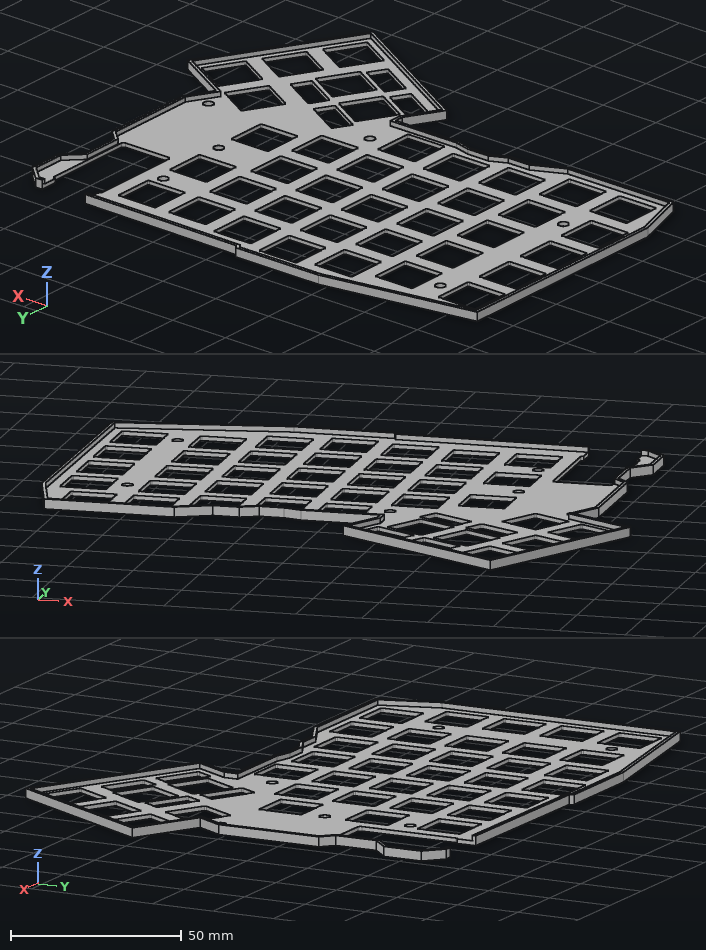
import cadquery as cq
import math


length = 181.0
width = 146.5
total_height = 3.0
floor_thickness = 1.5
rim_width = 1.0

hook_right = 167.6
bay_wall_right = 162.0
right_side = 165.8
lower_step = 45.8
lower_hump = 47.2
lower_shelf = 44.7
lower_left = 39.8

row_span = 76.2
pitch = row_span / 4
switch_size = 14.0
corner_radius = 0.4
grid_x = 35.3
grid_y = 126.7
outer_column_offset = 5 / 4

columns = [
    (0, (0, 1, 2, 3, 4)),
    (1 / 4, (0, 1, 2, 3, 4)),
    (3 / 8, (0, 1, 2, 3, 4)),
    (1 / 4, (0, 1, 2, 3, 4)),
    (1 / 8, (0, 1, 2, 3)),
    (1 / 8, (0, 1.25, 2.75)),
]

thumb_angle = -30.0
thumb_x = 167.0
thumb_y = 46.9
thumb_keys = [(-1, 0), (0, 0), (0, -1), (0, -2)]
tall_thumb_keys = [(-2, -1.5), (-1, -1.5)]
stabilizer_length = 14.8
stabilizer_width = 6.7
stabilizer_spacing = 12.0
stabilizer_shift = -1.6

thumb_right_corner_y = 50.5
thumb_right_edge = 58.3
thumb_lower_edge = 61.0
thumb_upper_edge = 23.5
thumb_left_edge = 14.1

screw_diameter = 3.3
screw_points = [
    (23.2, 126.9), (23.2, 69.7), (134.8, 118.4), (136.3, 90.9), (158.7, 68.0), (106.0, 57.7),
]

bay_left = 142.6
bay_right = 160.5
bay_bottom = 105.5
mouth_left = 143.4
mouth_right = 159.5
mouth_bottom = 138.3
mouth_top = 144.5
bay_corner_radius = 0.9


def along_thumb(start, distance, turn):
    """Point at a distance from start, in a direction turned from the thumb cluster's own X axis."""
    angle = math.radians(thumb_angle + turn)
    return (start[0] + distance * math.cos(angle), start[1] + distance * math.sin(angle))


def plate_outline():
    right_corner = (length, thumb_right_corner_y)
    notch_corner = along_thumb(right_corner, thumb_upper_edge, 180)
    bottom_corner = along_thumb(right_corner, thumb_right_edge, -90)
    left_corner = along_thumb(bottom_corner, thumb_lower_edge, 180)
    inner_corner = along_thumb(left_corner, thumb_left_edge, 90)
    return [
        (0.4, 137.7), (53.4, width), (84.7, width), (85.5, 145.2),
        (mouth_left, mouth_top), (162.0, mouth_top),
        (hook_right, 139.0), (hook_right, 126.7), (bay_wall_right, 121.3), (bay_wall_right, 107.9),
        (right_side, 104.3), (right_side, 71.1),
        notch_corner, right_corner, bottom_corner, left_corner, inner_corner,
        (inner_corner[0], lower_step), (82.2, lower_step), (76.5, lower_hump), (69.1, lower_hump),
        (63.7, lower_shelf), (55.7, lower_shelf), (45.2, lower_left), (5.8, lower_left), (0, 59.0),
    ]


def rounded_opening(size_x, size_y, radius=corner_radius):
    """Rectangular through cutter with small rounded corners, centred on the origin."""
    block = cq.Workplane("XY").rect(size_x, size_y).extrude(total_height)
    return block.edges("|Z").fillet(radius)


def tray():
    body = cq.Workplane("XY").polyline(plate_outline()).close().extrude(total_height)
    recess = (
        cq.Workplane("XY").polyline(plate_outline()).close().offset2D(-rim_width, "intersection")
        .extrude(total_height).translate((0, 0, floor_thickness))
    )
    return body.cut(recess)


def finger_switch_points():
    points = [(grid_x - outer_column_offset * pitch, grid_y - row * pitch) for row in range(4)]
    points.append((grid_x - pitch, grid_y - row_span))
    for index, (stagger, rows) in enumerate(columns):
        for row in rows:
            points.append((grid_x + index * pitch, grid_y + (stagger - row) * pitch))
    return points


def thumb_cutters():
    switch = rounded_opening(switch_size, switch_size)
    slot = rounded_opening(stabilizer_length, stabilizer_width)
    cutters = []
    for column, row in thumb_keys + tall_thumb_keys:
        cutters.append(switch.translate((column * pitch, row * pitch, 0)))
    for column, row in tall_thumb_keys:
        for side in (-1, 1):
            slot_x = column * pitch + stabilizer_shift
            slot_y = row * pitch + side * stabilizer_spacing
            cutters.append(slot.translate((slot_x, slot_y, 0)))
    return [
        cutter.rotate((0, 0, 0), (0, 0, 1), thumb_angle).translate((thumb_x, thumb_y, 0))
        for cutter in cutters
    ]


def bay_cutter():
    bay_width = bay_right - bay_left
    bay_length = mouth_bottom - bay_bottom
    bay = rounded_opening(bay_width, bay_length, bay_corner_radius)
    bay = bay.translate((bay_left + bay_width / 2, bay_bottom + bay_length / 2, 0))
    mouth_start = bay_bottom + bay_corner_radius
    mouth = cq.Workplane("XY").box(
        mouth_right - mouth_left, width - mouth_start, total_height, centered=False
    )
    return bay.union(mouth.translate((mouth_left, mouth_start, 0)))


result = tray()

finger_switch = rounded_opening(switch_size, switch_size)
for x, y in finger_switch_points():
    result = result.cut(finger_switch.translate((x, y, 0)))

for cutter in thumb_cutters():
    result = result.cut(cutter)

screw_holes = cq.Workplane("XY").pushPoints(screw_points).circle(screw_diameter / 2)
result = result.cut(screw_holes.extrude(total_height))

result = result.cut(bay_cutter())